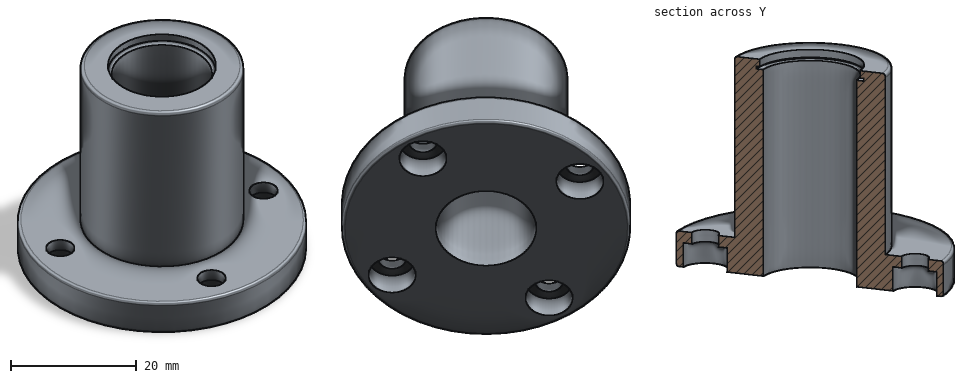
import cadquery as cq

flange_diameter = 46.0
flange_thickness = 6.0
flange_fillet = 0.5

total_height = 36.0
barrel_diameter = 26.0
barrel_fillet = 0.6

bore_diameter = 16.0
recess_diameter = 17.2
recess_depth = 1.3
groove_diameter = 18.4
groove_width = 0.35

screw_count = 4
screw_circle_diameter = 36.0
screw_hole_diameter = 4.5
screw_head_diameter = 7.5
screw_head_depth = 4.0


def cylinder(diameter, bottom, height):
    """Upright cylinder on the part's axis."""
    return cq.Workplane("XY").workplane(offset=bottom).circle(diameter / 2).extrude(height)


def screw_cutters(diameter, height):
    """Cylinders on the screw circle, rising from the underside."""
    return (
        cq.Workplane("XY")
        .polarArray(screw_circle_diameter / 2, 0, 360, screw_count)
        .circle(diameter / 2)
        .extrude(height)
    )


flange = cylinder(flange_diameter, 0, flange_thickness).edges().fillet(flange_fillet)
barrel = cylinder(barrel_diameter, 0, total_height).faces(">Z").edges().fillet(barrel_fillet)
body = flange.union(barrel)

recess_bottom = total_height - recess_depth
body = body.cut(cylinder(bore_diameter, 0, total_height))
body = body.cut(cylinder(recess_diameter, recess_bottom, recess_depth))
body = body.cut(cylinder(groove_diameter, recess_bottom - groove_width, groove_width))

body = body.cut(screw_cutters(screw_hole_diameter, flange_thickness))
result = body.cut(screw_cutters(screw_head_diameter, screw_head_depth))